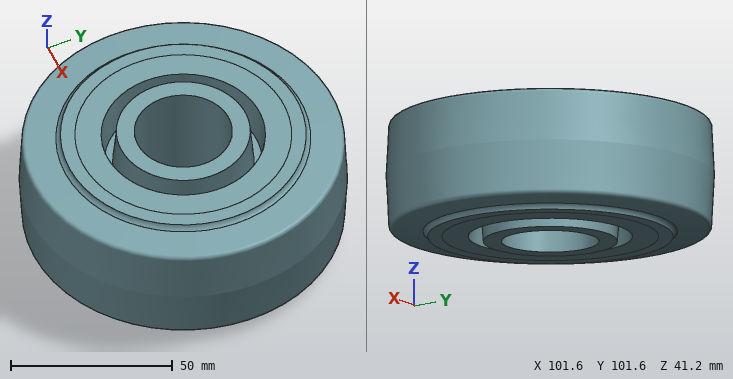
import cadquery as cq
import math


tyre_radius = 50.8
shoulder_radius = 50.0
shoulder_height = 15.3
side_outer_radius = 48.6
side_outer_height = 16.8
side_inner_radius = 39.4
side_inner_height = 17.5
collar_radius = 38.0
collar_height = 19.1

seat_radius = 33.5
bore_radius = 15.1
sleeve_top_radius = 20.7
sleeve_half_length = 20.6
recess_top_radius = 25.4
recess_depth = 12.0
wall_draft = math.radians(4.8)


def revolve_mirrored(upper_outline):
    """Revolve an upper half outline, open along Z = 0, and add its mirror image."""
    upper_half = upper_outline.close().revolve(360, (0, 0, 0), (0, 1, 0))
    return upper_half.union(upper_half.mirror("XY"))


def make_tyre():
    shoulder_bulge = 0.3
    shoulder_mid = (
        (shoulder_radius + side_outer_radius) / 2 + shoulder_bulge,
        (shoulder_height + side_outer_height) / 2 + shoulder_bulge,
    )
    collar_hollow = 0.15
    collar_mid = (
        (side_inner_radius + collar_radius) / 2 - collar_hollow,
        (side_inner_height + collar_height) / 2 - collar_hollow,
    )
    return revolve_mirrored(
        cq.Workplane("XZ")
        .moveTo(seat_radius, 0)
        .lineTo(tyre_radius, 0)
        .lineTo(shoulder_radius, shoulder_height)
        .threePointArc(shoulder_mid, (side_outer_radius, side_outer_height))
        .lineTo(side_inner_radius, side_inner_height)
        .threePointArc(collar_mid, (collar_radius, collar_height))
        .lineTo(seat_radius, collar_height)
    )


def make_hub():
    floor_height = collar_height - recess_depth
    recess_floor_radius = recess_top_radius - recess_depth * math.tan(wall_draft)
    sleeve_floor_radius = sleeve_top_radius + (sleeve_half_length - floor_height) * math.tan(wall_draft)
    return revolve_mirrored(
        cq.Workplane("XZ")
        .moveTo(bore_radius, 0)
        .lineTo(seat_radius, 0)
        .lineTo(seat_radius, collar_height)
        .lineTo(recess_top_radius, collar_height)
        .lineTo(recess_floor_radius, floor_height)
        .lineTo(sleeve_floor_radius, floor_height)
        .lineTo(sleeve_top_radius, sleeve_half_length)
        .lineTo(bore_radius, sleeve_half_length)
    )


tyre = make_tyre()
hub = make_hub()

result = cq.Compound.makeCompound([tyre.val(), hub.val()])